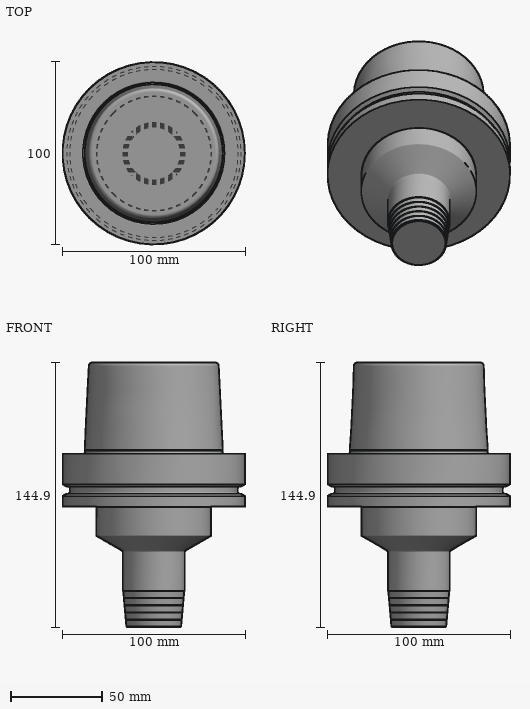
import cadquery as cq
import math


taper_length = 49.9
taper_end_radius = 35.67
taper_end_rounding = 2.0
taper_base_radius = 37.9
taper_base_z = 2.2

relief_radius = 37.7
relief_top_z = 1.6
recess_depth = 0.2
recess_fillet = 1.1
recess_outer_radius = 39.5

flange_radius = 50.0
flange_height = 29.0
flange_edge_chamfer = 0.2

groove_z = -20.0
groove_floor_radius = 46.1
groove_floor_half_width = 1.1
groove_fillet = 0.8
groove_ledge_radius = 47.7
groove_wall_angle = 30.0

nose_radius = 31.5
nose_top_chamfer = 0.3
nose_edge_rounding = 0.3
cone_start_z = -45.0
cone_angle = 30.0
stem_radius = 17.0
stem_corner_fillet = 1.0
stem_end_z = -75.0

tip_step = 0.2
tip_step_height = 0.4
tip_angle = 5.0
tip_length = 20.0
tip_end_chamfer = 0.6
ring_pitch = 4.0
ring_groove_count = 4
ring_groove_width = 0.4
ring_groove_depth = 0.1

selection_margin = 0.01

AXIS_START = (0, 0, 0)
AXIS_END = (0, 1, 0)


def quarter_arc_middle(center, radius, side_r, side_z):
    """Point halfway along a quarter arc, on the given side of its center."""
    offset = radius * math.sqrt(0.5)
    return (center[0] + side_r * offset, center[1] + side_z * offset)


def make_shank_and_flange():
    """Taper shank and flange without the gripper groove."""
    end_center = (taper_end_radius - taper_end_rounding, taper_length - taper_end_rounding)
    recess_center = (relief_radius + recess_fillet, recess_fillet - recess_depth)
    return (
        cq.Workplane("XZ")
        .moveTo(0, taper_length)
        .lineTo(end_center[0], taper_length)
        .threePointArc(
            quarter_arc_middle(end_center, taper_end_rounding, 1, 1),
            (taper_end_radius, end_center[1]),
        )
        .lineTo(taper_base_radius, taper_base_z)
        .lineTo(relief_radius, relief_top_z)
        .lineTo(relief_radius, recess_center[1])
        .threePointArc(
            quarter_arc_middle(recess_center, recess_fillet, -1, -1),
            (recess_center[0], -recess_depth),
        )
        .lineTo(recess_outer_radius, 0)
        .lineTo(flange_radius - flange_edge_chamfer, 0)
        .lineTo(flange_radius, -flange_edge_chamfer)
        .lineTo(flange_radius, -flange_height)
        .lineTo(0, -flange_height)
        .close()
        .revolve(360, AXIS_START, AXIS_END)
    )


def make_gripper_groove():
    """Ring cut from the flange: rounded floor, flat ledges and sloped mouth."""
    ledge_half_width = groove_floor_half_width + groove_fillet
    wall_rise = (flange_radius - groove_ledge_radius) * math.tan(math.radians(groove_wall_angle))
    mouth_half_width = ledge_half_width + wall_rise
    fillet_r = groove_floor_radius + groove_fillet
    upper_center = (fillet_r, groove_z + groove_floor_half_width)
    lower_center = (fillet_r, groove_z - groove_floor_half_width)
    return (
        cq.Workplane("XZ")
        .moveTo(flange_radius, groove_z + mouth_half_width)
        .lineTo(groove_ledge_radius, groove_z + ledge_half_width)
        .lineTo(fillet_r, groove_z + ledge_half_width)
        .threePointArc(
            quarter_arc_middle(upper_center, groove_fillet, -1, 1),
            (groove_floor_radius, upper_center[1]),
        )
        .lineTo(groove_floor_radius, lower_center[1])
        .threePointArc(
            quarter_arc_middle(lower_center, groove_fillet, -1, -1),
            (fillet_r, groove_z - ledge_half_width),
        )
        .lineTo(groove_ledge_radius, groove_z - ledge_half_width)
        .lineTo(flange_radius, groove_z - mouth_half_width)
        .close()
        .revolve(360, AXIS_START, AXIS_END)
    )


def make_holder():
    return make_shank_and_flange().cut(make_gripper_groove())


def tip_radius(z):
    """Radius of the tip cone at height z."""
    drop = stem_end_z - z
    return stem_radius - tip_step - drop * math.tan(math.radians(tip_angle))


def circle_at(z):
    """Selector for the circular edge of the nose at height z."""
    return cq.selectors.BoxSelector(
        (-nose_radius, -nose_radius, z - selection_margin),
        (nose_radius, nose_radius, z + selection_margin),
    )


def make_nose_blank():
    """Nose, cone, stem and tip, before the ring grooves are cut."""
    nose_top_z = -flange_height
    cone_end_z = cone_start_z - (nose_radius - stem_radius) * math.tan(math.radians(cone_angle))
    tip_start_z = stem_end_z - tip_step_height
    tip_end_z = stem_end_z - tip_length
    chamfer_top_z = tip_end_z + tip_end_chamfer
    blank = (
        cq.Workplane("XZ")
        .moveTo(0, nose_top_z)
        .lineTo(nose_radius - nose_top_chamfer, nose_top_z)
        .lineTo(nose_radius, nose_top_z - nose_top_chamfer)
        .lineTo(nose_radius, cone_start_z)
        .lineTo(stem_radius, cone_end_z)
        .lineTo(stem_radius, stem_end_z)
        .lineTo(tip_radius(tip_start_z), tip_start_z)
        .lineTo(tip_radius(chamfer_top_z), chamfer_top_z)
        .lineTo(tip_radius(chamfer_top_z) - tip_end_chamfer, tip_end_z)
        .lineTo(0, tip_end_z)
        .close()
        .revolve(360, AXIS_START, AXIS_END)
    )
    return (
        blank.edges(circle_at(cone_start_z))
        .fillet(nose_edge_rounding)
        .edges(circle_at(cone_end_z))
        .fillet(stem_corner_fillet)
    )


def make_ring_groove(z):
    """Thin ring that cuts one groove around the tip, centered on height z."""
    floor_radius = tip_radius(z) - ring_groove_depth
    return (
        cq.Workplane("XY", origin=(0, 0, z - ring_groove_width / 2))
        .circle(stem_radius)
        .circle(floor_radius)
        .extrude(ring_groove_width)
    )


def make_nose():
    nose = make_nose_blank()
    for ring in range(1, ring_groove_count + 1):
        nose = nose.cut(make_ring_groove(stem_end_z - ring * ring_pitch))
    return nose


holder = make_holder()
nose = make_nose()

result = cq.Compound.makeCompound([holder.val(), nose.val()])